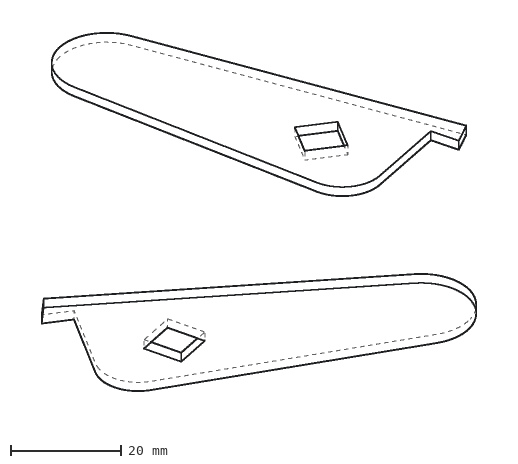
import cadquery as cq
import math

thickness = 2.0
hole_side = 8.0
hole_turn = 45.0

round_end_radius = 10.0
round_end_centre = (-46.0, 0.0)

heel_radius = 8.0
heel_centre = (8.0, -5.5)
wall_x = heel_centre[0] + heel_radius

hook_top = (20.5, 17.0)
hook_tip = (22.0, 12.0)


def point_on_circle(centre, radius, angle):
    """Point of a circle at an angle in radians from +X."""
    return (centre[0] + radius * math.cos(angle), centre[1] + radius * math.sin(angle))


def tangent_angle(other_centre, other_radius, side):
    """Angle at which the outer tangent from the round end to another circle touches both.

    side is 1 for the upper tangent and -1 for the lower one; a point is a circle of radius 0.
    """
    run = other_centre[0] - round_end_centre[0]
    rise = other_centre[1] - round_end_centre[1]
    radius_drop = round_end_radius - other_radius
    return math.atan2(rise, run) + side * math.acos(radius_drop / math.hypot(run, rise))


def round_end_point(angle):
    return point_on_circle(round_end_centre, round_end_radius, angle)


def heel_point(angle):
    return point_on_circle(heel_centre, heel_radius, angle)


def lever_plate():
    """Tapered plate with a round end, a hook and a rounded heel."""
    upper_angle = tangent_angle(hook_top, 0, 1)
    lower_angle = tangent_angle(heel_centre, heel_radius, -1)
    return (
        cq.Workplane("XY")
        .moveTo(*round_end_point(upper_angle))
        .lineTo(*hook_top)
        .lineTo(*hook_tip)
        .lineTo(wall_x, hook_tip[1])
        .lineTo(*heel_point(0))
        .threePointArc(heel_point(lower_angle / 2), heel_point(lower_angle))
        .lineTo(*round_end_point(lower_angle))
        .threePointArc(round_end_point((lower_angle - math.pi) / 2), round_end_point(math.pi))
        .threePointArc(round_end_point((upper_angle + math.pi) / 2), round_end_point(upper_angle))
        .close()
        .extrude(thickness, clean=False)
    )


def square_hole():
    """Cutter for the square hole through the plate."""
    return (
        cq.Workplane("XY")
        .transformed(rotate=(0, 0, hole_turn))
        .rect(hole_side, hole_side)
        .extrude(thickness)
    )


result = lever_plate().cut(square_hole(), clean=False)